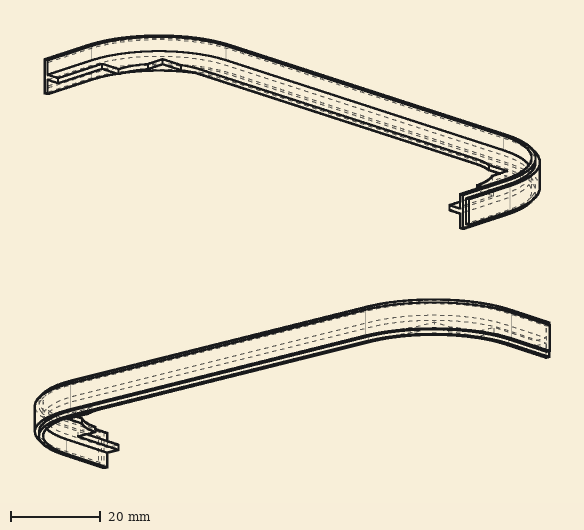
import cadquery as cq
import math

length = 133.5
depth = 37.0
height = 8.0

corner_radius = 23.1
band_thickness = 1.0
band_height = 6.0
band_end_setback = 1.0
wall_thickness = 1.0

web_thickness = 1.2
web_width = 10.4
leg_web_width = 5.2
notch_side_inset = 12.5
notch_back_inset = 11.3

half_length = length / 2
back = depth / 2
front = -depth / 2
center_x = half_length - corner_radius
center_y = back - corner_radius


def u_area(inset, front_y, thickness):
    """Slab filling the U outline, inset from the band and centered on Z = 0."""
    side = half_length - inset
    top = back - inset
    mid_arc = (corner_radius - inset) * math.sqrt(0.5)
    return (
        cq.Workplane("XY")
        .workplane(offset=-thickness / 2)
        .moveTo(-side, front_y)
        .lineTo(-side, center_y)
        .threePointArc((-center_x - mid_arc, center_y + mid_arc), (-center_x, top))
        .lineTo(center_x, top)
        .threePointArc((center_x + mid_arc, center_y + mid_arc), (side, center_y))
        .lineTo(side, front_y)
        .close()
        .extrude(thickness)
    )


def u_strip(outer_inset, thickness, front_y, strip_height):
    """U-shaped strip of constant thickness, open toward -Y."""
    outer = u_area(outer_inset, front_y, strip_height)
    return outer.cut(u_area(outer_inset + thickness, front_y, strip_height))


def block(width, front_y, back_y):
    """Block centered on X and spanning the web thickness."""
    span = back_y - front_y
    return cq.Workplane("XY").box(width, span, web_thickness).translate((0, front_y + span / 2, 0))


def make_web():
    """Web with a rounded opening, two square corner notches and narrow legs."""
    web = u_area(band_thickness, front, web_thickness)
    web = web.cut(u_area(web_width, front, web_thickness))
    web = web.cut(block(length - 2 * leg_web_width, front, center_y))
    notch_width = length - 2 * notch_side_inset
    return web.cut(block(notch_width, center_y, back - notch_back_inset))


band = u_strip(0, band_thickness, front + band_end_setback, band_height)
wall = u_strip(band_thickness, wall_thickness, front, height)
result = wall.union(band).union(make_web())